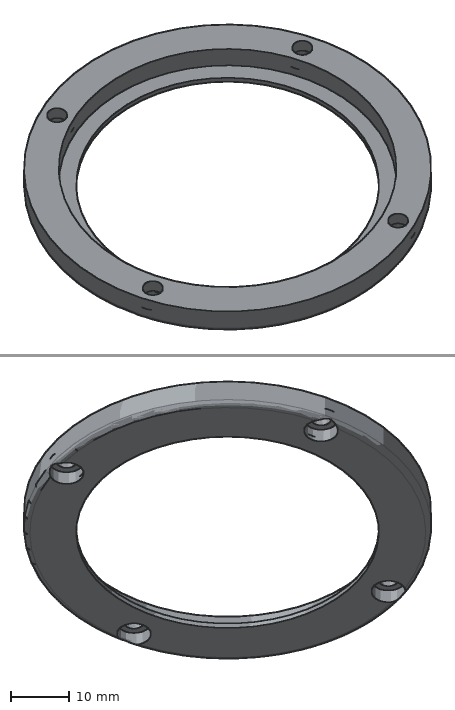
import cadquery as cq

outer_diameter = 70.0
height = 5.0
bottom_edge_radius = 1.0

bore_diameter = 52.0
recess_diameter = 58.0
ledge_thickness = 1.0

screw_count = 4
screw_hole_diameter = 3.4
head_pocket_diameter = 5.8
head_pocket_depth = 2.6
screw_circle_diameter = 64.0


def cylinder(diameter, length, base_z=0.0):
    """Cylinder on the ring axis, rising from base_z."""
    return cq.Workplane("XY").workplane(offset=base_z).circle(diameter / 2).extrude(length)


def screw_cylinders(diameter, length):
    """Cylinders at all screw positions, rising from the bottom face."""
    return (
        cq.Workplane("XY")
        .polarArray(screw_circle_diameter / 2, 0, 360, screw_count)
        .circle(diameter / 2)
        .extrude(length)
    )


body = cylinder(outer_diameter, height).faces("<Z").edges().fillet(bottom_edge_radius)

body = body.cut(cylinder(bore_diameter, height))
body = body.cut(cylinder(recess_diameter, height - ledge_thickness, ledge_thickness))

body = body.cut(screw_cylinders(screw_hole_diameter, height))
result = body.cut(screw_cylinders(head_pocket_diameter, head_pocket_depth))